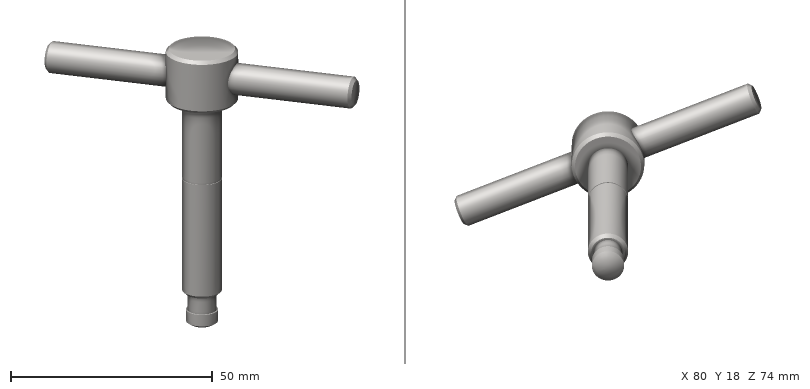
import cadquery as cq

head_diameter = 18.0
head_height = 14.0
handle_length = 80.0
handle_diameter = 8.0
edge_chamfer = 0.8

total_height = 74.0
shaft_diameter = 10.0
shaft_length = 51.0
groove_offset = 20.0
groove_width = 0.5
groove_depth = 0.2

neck_diameter = 7.2
neck_length = 4.5
tip_diameter = 8.0
dome_height = 1.4

head_bottom = total_height - head_height
shaft_bottom = head_bottom - shaft_length
tip_top = shaft_bottom - neck_length
handle_height = head_bottom + head_height / 2


def cylinder(diameter, bottom, top):
    """Vertical cylinder on the Z axis between two heights."""
    return cq.Workplane("XY").workplane(offset=bottom).circle(diameter / 2).extrude(top - bottom)


def make_head():
    return cylinder(head_diameter, head_bottom, total_height).edges().chamfer(edge_chamfer)


def make_handle():
    bar = (
        cq.Workplane("YZ")
        .circle(handle_diameter / 2)
        .extrude(handle_length / 2, both=True)
        .faces("<X or >X")
        .chamfer(edge_chamfer)
    )
    return bar.translate((0, 0, handle_height))


def make_shaft():
    shaft = cylinder(shaft_diameter, shaft_bottom, head_bottom).faces("<Z").chamfer(edge_chamfer)
    groove_top = head_bottom - groove_offset
    groove_bottom = groove_top - groove_width
    groove = cylinder(shaft_diameter, groove_bottom, groove_top).cut(
        cylinder(shaft_diameter - 2 * groove_depth, groove_bottom, groove_top)
    )
    return shaft.cut(groove)


def make_tip():
    """Cylinder closed below by a spherical cap, revolved about Z."""
    radius = tip_diameter / 2
    sphere_radius = (radius**2 + dome_height**2) / (2 * dome_height)
    middle_x = radius / 2
    middle_z = sphere_radius - (sphere_radius**2 - middle_x**2) ** 0.5
    return (
        cq.Workplane("XZ")
        .moveTo(0, tip_top)
        .lineTo(radius, tip_top)
        .lineTo(radius, dome_height)
        .threePointArc((middle_x, middle_z), (0, 0))
        .close()
        .revolve(360, (0, 0), (0, 1))
    )


neck = cylinder(neck_diameter, tip_top, shaft_bottom)
result = make_head().union(make_handle()).union(make_shaft()).union(neck).union(make_tip())